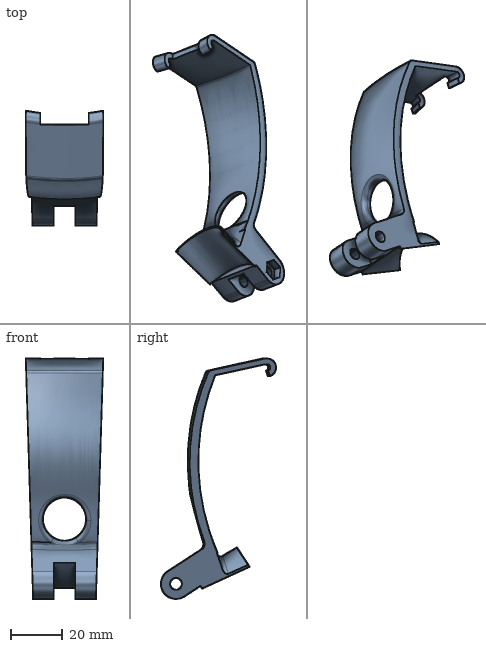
import cadquery as cq
import math

lug_radius = 5.9
lug_tilt = 33.0
pivot_dia = 4.5
nut_corner_dia = 8.3
nut_depth = 3.0
slot_width = 8.3
slot_wall_distance = 6.0

top_z = 88.4
bottom_z = -lug_radius
top_width = 30.5
bottom_width = 24.7

bow_axis_y = 117.9
bow_sweep = 30.0
arm_front_y = 4.5
arm_thickness = 3.4
arm_bow_radius = 86.8
arm_mid_z = 47.7
arm_bottom_z = 12.3
elbow_z = 82.6
elbow_inner_radius = 0.8
elbow_outer_radius = 1.7

plate_tilt = 12.5
plate_thickness = 2.3
hook_y = 34.2
hook_outer_radius = 3.6
hook_inner_radius = hook_outer_radius - plate_thickness
hook_z = top_z - hook_outer_radius
hook_tip_angle = -70.0
hook_gap = 18.9
hook_gap_back = 0.4

window_dia = 16.8
window_z = 25.4
window_round = 1.7

foot_start = -7.5
foot_end = -27.8
foot_start_edge = -7.8
foot_end_edge = -10.75
foot_start_crest = -0.4
foot_end_crest = -0.9
foot_thickness = 1.0
foot_half_width = 13.0
foot_fillet = 1.4

root_front = -19.3
root_fillet = 2.4
root_corner = -17.5
root_back_y = 14.5
root_back_z = 16.5
foot_seam = -20.3
heel = -17.4

tilt = math.radians(lug_tilt)


def from_lug(along, above):
    """(Y, Z) of a point given along the lug (positive toward its tip) and above its centre line."""
    y = -along * math.cos(tilt) - above * math.sin(tilt)
    z = -along * math.sin(tilt) + above * math.cos(tilt)
    return y, z


def arm_y(apex_y, z):
    """Y of a bowed arm face at height z, where apex_y is its Y at the middle of the bow."""
    return apex_y + arm_bow_radius - math.sqrt(arm_bow_radius**2 - (z - arm_mid_z) ** 2)


def around_hook(radius, degrees):
    """(Y, Z) of a point around the hook centre, with 0 degrees toward +Y."""
    angle = math.radians(degrees)
    return hook_y + radius * math.cos(angle), hook_z + radius * math.sin(angle)


def make_strip():
    """Arm, top plate and hook as one profile, swept around the bow axis."""
    arm_back_y = arm_front_y + arm_thickness
    slope = math.tan(math.radians(plate_tilt))
    outer_start = around_hook(hook_outer_radius, 90 + plate_tilt)
    inner_start = around_hook(hook_inner_radius, 90 + plate_tilt)
    outer_elbow_y = arm_y(arm_front_y, elbow_z)
    outer_elbow = (outer_elbow_y, outer_start[1] - slope * (outer_start[0] - outer_elbow_y))
    inner_elbow_y = arm_y(arm_back_y, elbow_z - plate_thickness)
    inner_elbow = (inner_elbow_y, inner_start[1] - slope * (inner_start[0] - inner_elbow_y))
    profile = (
        cq.Workplane("YZ")
        .moveTo(arm_y(arm_front_y, arm_bottom_z), arm_bottom_z)
        .threePointArc((arm_front_y, arm_mid_z), outer_elbow)
        .lineTo(*outer_start)
        .threePointArc(around_hook(hook_outer_radius, 0), around_hook(hook_outer_radius, hook_tip_angle))
        .lineTo(*around_hook(hook_inner_radius, hook_tip_angle))
        .threePointArc(around_hook(hook_inner_radius, 0), inner_start)
        .lineTo(*inner_elbow)
        .threePointArc((arm_back_y, arm_mid_z), (arm_y(arm_back_y, arm_bottom_z), arm_bottom_z))
        .close()
    )
    strip = profile.revolve(bow_sweep, (bow_axis_y, 0), (bow_axis_y, 1))
    strip = strip.rotate((0, bow_axis_y, 0), (0, bow_axis_y, 1), -bow_sweep / 2)
    strip = round_edge(strip, outer_elbow, elbow_outer_radius)
    return round_edge(strip, inner_elbow, elbow_inner_radius)


def round_edge(body, point, radius):
    """Fillet the crosswise edge passing nearest to a (Y, Z) point in the middle plane."""
    nearest = min(body.edges().vals(), key=lambda edge: edge.distance(cq.Vertex.makeVertex(0, *point)))
    return body.newObject([nearest]).fillet(radius)


def cut_hook_gap(strip):
    """Leave a hook at each side by removing the curl between them."""
    gap_start = hook_y - hook_gap_back
    depth = 2 * hook_outer_radius
    gap = cq.Workplane("XY").box(hook_gap, depth, 2 * depth, centered=(True, False, True))
    return strip.cut(gap.translate((0, gap_start, hook_z)))


def cut_window(strip):
    """Round window through the arm with a rounded front rim."""
    drill_reach = arm_y(arm_front_y, window_z) + 2 * arm_thickness
    window = cq.Workplane("XZ").center(0, window_z).circle(window_dia / 2).extrude(-drill_reach)
    strip = strip.cut(window)
    rim_z = window_z + window_dia / 2
    rim_point = (arm_y(arm_front_y, rim_z), rim_z)
    return round_edge(strip, rim_point, window_round)


def foot_edge(along):
    """Height of the foot's lower edge relative to the lug's centre line."""
    slope = (foot_end_edge - foot_start_edge) / (foot_end - foot_start)
    return foot_start_edge + slope * (along - foot_start)


def make_root():
    """Straight block carrying the lug and the lower end of the arm."""
    block = (
        cq.Workplane("YZ")
        .moveTo(*from_lug(0, lug_radius))
        .lineTo(*from_lug(root_front, lug_radius))
        .lineTo(root_back_y, root_back_z)
        .lineTo(*from_lug(heel, foot_edge(heel)))
        .lineTo(*from_lug(foot_start, foot_start_edge))
        .lineTo(*from_lug(foot_start, -lug_radius))
        .lineTo(*from_lug(0, -lug_radius))
        .threePointArc(from_lug(lug_radius, 0), from_lug(0, lug_radius))
        .close()
    )
    return block.extrude(top_width / 2, both=True)


def arch_section(along, edge, crest, floor):
    """Wire square to the lug: an arch on two short legs standing on edge, closed below by floor."""
    plane = cq.Plane((0, *from_lug(along, 0)), (1, 0, 0), (0, -math.cos(tilt), -math.sin(tilt)))
    section = cq.Workplane(plane).moveTo(-foot_half_width, edge)
    section = section.threePointArc((0, crest), (foot_half_width, edge))
    section = section.lineTo(foot_half_width, floor).lineTo(-foot_half_width, floor)
    return section.close().val()


def make_arch(thickness, leg):
    """Solid arch the length of the foot, its curved face raised by thickness, with legs of given length."""
    start = arch_section(
        foot_start, foot_start_edge + thickness, foot_start_crest - foot_thickness + thickness,
        foot_start_edge - leg)
    end = arch_section(
        foot_end, foot_end_edge + thickness, foot_end_crest - foot_thickness + thickness,
        foot_end_edge - leg)
    return cq.Workplane(cq.Solid.makeLoft([end, start], True))


def side_trim():
    """Tapered outline that bounds the part across its width."""
    margin = 0.9
    half_top = top_width / 2
    half_bottom = bottom_width / 2
    half_slope = (half_top - half_bottom) / (top_z - bottom_z)
    high_half = half_top + half_slope * margin
    low_half = half_bottom - half_slope * margin
    outline = [
        (-low_half, bottom_z - margin),
        (low_half, bottom_z - margin),
        (high_half, top_z + margin),
        (-high_half, top_z + margin),
    ]
    return cq.Workplane("XZ").polyline(outline).close().extrude(top_z, both=True)


def cut_lug(part):
    """Slot between the two lug cheeks, the pivot hole and the nut pocket on the -X cheek."""
    slot_length = slot_wall_distance + 2 * lug_radius
    slot = cq.Workplane("XY").box(slot_width, slot_length, 3 * lug_radius, centered=(True, False, True))
    slot = slot.translate((0, slot_wall_distance - slot_length, 0))
    part = part.cut(slot.rotate((0, 0, 0), (1, 0, 0), lug_tilt))
    pivot = cq.Workplane("YZ").circle(pivot_dia / 2).extrude(top_width, both=True)
    pocket = cq.Workplane("YZ").polygon(6, nut_corner_dia).extrude(-top_width)
    pocket = pocket.rotate((0, 0, 0), (1, 0, 0), 90)
    pocket = pocket.translate((nut_depth - bottom_width / 2, 0, 0))
    return part.cut(pivot).cut(pocket)


strip = cut_hook_gap(make_strip())
body = strip.union(make_root()).intersect(side_trim())
body = round_edge(body, from_lug(root_corner, lug_radius), root_fillet)
body = cut_window(body)
hollow = make_arch(0, foot_thickness)
foot = make_arch(foot_thickness, 0).intersect(side_trim())
body = body.union(foot).cut(hollow)
body = round_edge(body, from_lug(foot_seam, foot_start_crest), foot_fillet)
result = cut_lug(body)